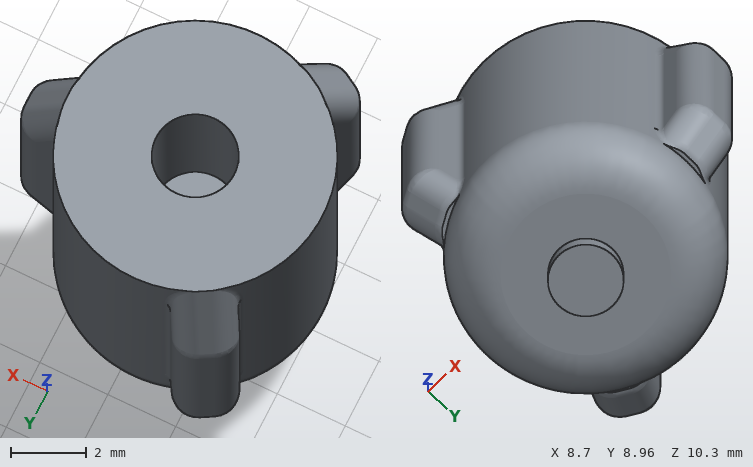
import cadquery as cq
import math

body_radius = 3.75
body_height = 9.8
dome_radius = 1.5

post_radius = 1.0
post_length = 0.5
bore_radius = 1.15
bore_depth = 5.0

rib_count = 3
rib_width = 1.8
rib_reach = 4.95
bottom_ramp_angle = 45.0
bottom_ramp_height = 1.0
top_ramp_height = 2.0
ramp_corner_radius = 0.4
rib_edge_radius = 0.7
rib_end_radius = 0.35
rib_foot_radius = 0.2

rib_bottom = dome_radius
rib_root = 1.75
root_depth = rib_reach - rib_root
top_ramp_slope = top_ramp_height / (rib_reach - body_radius)
bottom_ramp_slope = math.tan(math.radians(bottom_ramp_angle))
top_ramp_start = body_height - top_ramp_height
bottom_ramp_start = rib_bottom + bottom_ramp_height

wall_margin = 1.0
contact_tolerance = 0.001


def make_cylinder(radius, bottom, top):
    """Upright cylinder on the Z axis, with its seam on the -X side, clear of the first rib."""
    cylinder = cq.Workplane("XY").circle(radius).extrude(top - bottom)
    return cylinder.rotate((0, 0, 0), (0, 0, 1), 180).translate((0, 0, bottom))


def make_rib():
    """Rib along +X with ramped ends, a flat lower end and rounded edges."""
    profile = [
        (rib_root, bottom_ramp_start - bottom_ramp_slope * root_depth),
        (rib_reach, bottom_ramp_start),
        (rib_reach, top_ramp_start),
        (rib_root, top_ramp_start + top_ramp_slope * root_depth),
    ]
    rib = cq.Workplane("XZ").polyline(profile).close().extrude(rib_width / 2, both=True)

    rib = rib.faces(">X").edges("|Y").fillet(ramp_corner_radius)
    rib = rib.faces("|Y").edges("not <X").fillet(rib_edge_radius)

    above_dome = make_cylinder(2 * rib_reach, rib_bottom, 2 * body_height)
    rib = rib.intersect(above_dome)
    return rib.faces("<Z").edges("not <X").fillet(rib_end_radius)


def is_on_wall(point):
    """True for a point on the cylindrical wall, away from the wall's two ends."""
    on_surface = abs(math.hypot(point.x, point.y) - body_radius) < contact_tolerance
    half_margin = wall_margin / 2
    return on_surface and rib_bottom - half_margin < point.z < body_height + half_margin


def is_rib_foot(edge):
    """True for an edge that follows the wall along its whole length."""
    return all(is_on_wall(edge.positionAt(place)) for place in (0, 0.25, 0.5, 0.75, 1))


def make_ribbed_wall():
    """Straight part of the body with its ribs, blended into the wall at their feet."""
    wall = make_cylinder(body_radius, rib_bottom - wall_margin, body_height + wall_margin)
    rib = make_rib()
    for index in range(rib_count):
        wall = wall.union(rib.rotate((0, 0, 0), (0, 0, 1), index * 360 / rib_count))

    foot_edges = [edge for edge in wall.edges().vals() if is_rib_foot(edge)]
    wall = wall.newObject(foot_edges).fillet(rib_foot_radius)
    return wall.intersect(make_cylinder(2 * rib_reach, rib_bottom, body_height))


def make_base():
    """Rounded base below the ribs."""
    return (
        cq.Workplane("XZ")
        .lineTo(body_radius - dome_radius, 0)
        .radiusArc((body_radius, dome_radius), -dome_radius)
        .lineTo(0, dome_radius)
        .close()
        .revolve(360, (0, 0, 0), (0, 1, 0))
    )


post = make_cylinder(post_radius, -post_length, 0)
bore = make_cylinder(bore_radius, body_height - bore_depth, body_height)

result = make_ribbed_wall().union(make_base()).union(post).cut(bore)